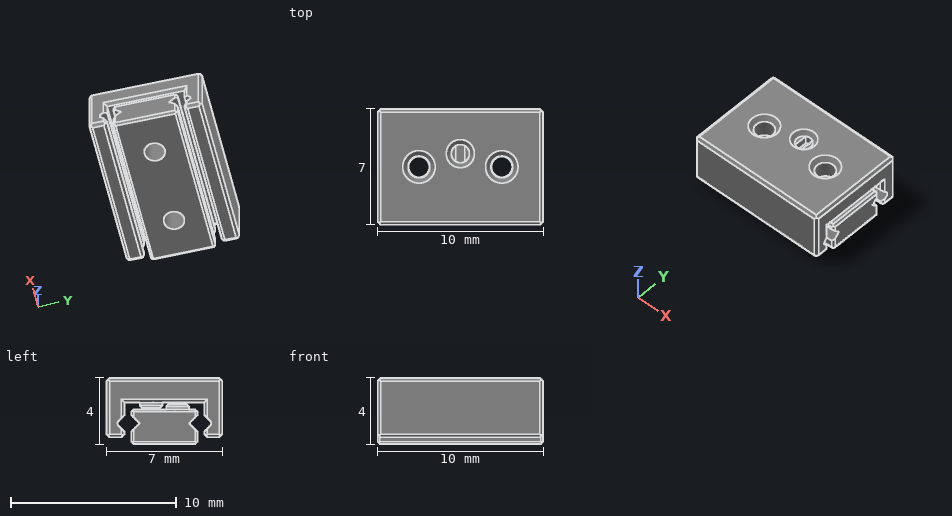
import cadquery as cq

LENGTH = 10
ROLLER_HEIGHT = 1.25

CARRIAGE_WIDTH = 7
CARRIAGE_BOTTOM = 0.4
CARRIAGE_TOP = 4
CHANNEL_WIDTH = 4.8
CHANNEL_CEILING = 2.5
CARRIAGE_CHAMFER = 0.2
CHAMFER_ANGLE = 45
GROOVE_DEPTH = 0.5
CARRIAGE_GROOVE_RADIUS = 0.2

RAIL_WIDTH = 4
RAIL_HEIGHT = 2.1
RAIL_CHAMFER = 0.15

HOLE_SPACING = 5
CARRIAGE_HOLE_DIAMETER = 1.32
RAIL_HOLE_DIAMETER = 1.25
MOUNTING_SINK_DIAMETER = 1.96
SINK_ANGLE = 90

SHANK_DIAMETER = 1.1
TIP_DIAMETER = 1.4
TIP_HEIGHT = 0.3
TIP_CHAMFER = 0.14
SCREW_OFFSET = 0.8
SLOT_WIDTH = 0.55
SLOT_DEPTH = 0.6

ACCESS_SINK_DIAMETER = 1.7
ACCESS_SINK_DEPTH = (ACCESS_SINK_DIAMETER - SHANK_DIAMETER) / 2
UPPER_SCREW_TOP = CARRIAGE_TOP - ACCESS_SINK_DEPTH
SHANK_LENGTH = UPPER_SCREW_TOP - CHANNEL_CEILING


def mitred_block(width, bottom, top, chamfer):
    """Full-length block with every edge chamfered and the chamfers mitred at the corners."""
    height = top - bottom
    centre = (0, 0, (bottom + top) / 2)
    blank = cq.Workplane("XY", origin=centre).box(LENGTH, width, height)
    body = blank.edges("|X").chamfer(chamfer)
    for direction in ("|Y", "|Z"):
        body = body.intersect(blank.edges(direction).chamfer(chamfer))
    return body


def bar_along_x(section):
    """Full-length bar with the given wire on the YZ plane as its cross-section."""
    return section.extrude(LENGTH / 2, both=True)


def channel():
    """Open-bottomed channel cutter, flared to chamfer the carriage ends and lower lips."""
    half_width = CHANNEL_WIDTH / 2
    lip_half_width = half_width + CARRIAGE_CHAMFER
    cutter = bar_along_x(
        cq.Workplane("YZ").polyline([
            (-lip_half_width, CARRIAGE_BOTTOM),
            (-half_width, CARRIAGE_BOTTOM + CARRIAGE_CHAMFER),
            (-half_width, CHANNEL_CEILING),
            (half_width, CHANNEL_CEILING),
            (half_width, CARRIAGE_BOTTOM + CARRIAGE_CHAMFER),
            (lip_half_width, CARRIAGE_BOTTOM),
        ]).close()
    )
    flare_width = CHANNEL_WIDTH + 2 * CARRIAGE_CHAMFER
    flare_height = 2 * (CHANNEL_CEILING + CARRIAGE_CHAMFER)
    flare = (
        cq.Workplane("YZ", origin=(-LENGTH / 2, 0, 0))
        .rect(flare_width, flare_height)
        .extrude(CARRIAGE_CHAMFER, taper=CHAMFER_ANGLE)
    )
    return cutter.union(flare).union(flare.mirror("YZ"))


def groove(wall, apex):
    """90 degree V-groove cutter along X from the wall at one Y to its sharp corner at another."""
    half_height = abs(apex - wall)
    return bar_along_x(
        cq.Workplane("YZ").polyline([
            (wall, ROLLER_HEIGHT - half_height),
            (apex, ROLLER_HEIGHT),
            (wall, ROLLER_HEIGHT + half_height),
        ]).close()
    )


def plain_screw(y, seat, tip_direction):
    """Screw seated at one height with its tip pointing up (+1) or down (-1)."""
    seat_plane = cq.Workplane("XY", origin=(0, y, seat))
    tip = seat_plane.circle(TIP_DIAMETER / 2).extrude(tip_direction * TIP_HEIGHT)
    tip_end = ">Z" if tip_direction > 0 else "<Z"
    tip = tip.faces(tip_end).edges().chamfer(TIP_CHAMFER)
    shank = seat_plane.circle(SHANK_DIAMETER / 2).extrude(-tip_direction * SHANK_LENGTH)
    return tip.union(shank)


def make_upper_screw():
    """Screw with its tip down and a driving slot along Y in the top of its shank."""
    slot = (
        cq.Workplane("XY", origin=(0, SCREW_OFFSET, UPPER_SCREW_TOP))
        .rect(SLOT_WIDTH, SHANK_DIAMETER)
        .extrude(-SLOT_DEPTH)
    )
    return plain_screw(SCREW_OFFSET, CHANNEL_CEILING, -1).cut(slot)


def make_lower_screw():
    """Screw with its tip up; the end of its shank is buried in the rail."""
    return plain_screw(-SCREW_OFFSET, RAIL_HEIGHT, 1)


def make_carriage():
    body = mitred_block(CARRIAGE_WIDTH, CARRIAGE_BOTTOM, CARRIAGE_TOP, CARRIAGE_CHAMFER).cut(channel())
    for side in (-1, 1):
        wall = side * CHANNEL_WIDTH / 2
        apex = wall + side * GROOVE_DEPTH
        inner_edge = "<Y" if side < 0 else ">Y"
        body = body.cut(groove(wall, apex).edges(inner_edge).fillet(CARRIAGE_GROOVE_RADIUS))
    body = (
        body.faces(">Z").workplane(origin=(0, 0, CARRIAGE_TOP))
        .rarray(HOLE_SPACING, 0.1, 2, 1)
        .cskHole(CARRIAGE_HOLE_DIAMETER, MOUNTING_SINK_DIAMETER, SINK_ANGLE)
    )
    return (
        body.faces(">Z").workplane(origin=(0, 0, CARRIAGE_TOP))
        .pushPoints([(0, SCREW_OFFSET)])
        .cskHole(SHANK_DIAMETER, ACCESS_SINK_DIAMETER, SINK_ANGLE)
    )


def make_rail(lower_screw):
    body = mitred_block(RAIL_WIDTH, 0, RAIL_HEIGHT, RAIL_CHAMFER)
    for side in (-1, 1):
        wall = side * RAIL_WIDTH / 2
        body = body.cut(groove(wall, wall - side * GROOVE_DEPTH))
    body = (
        body.faces(">Z").workplane(origin=(0, 0, RAIL_HEIGHT))
        .rarray(HOLE_SPACING, 0.1, 2, 1)
        .hole(RAIL_HOLE_DIAMETER)
    )
    return body.cut(lower_screw)


upper_screw = make_upper_screw()
lower_screw = make_lower_screw()
carriage = make_carriage()
rail = make_rail(lower_screw)

result = cq.Compound.makeCompound([carriage.val(), rail.val(), upper_screw.val(), lower_screw.val()])